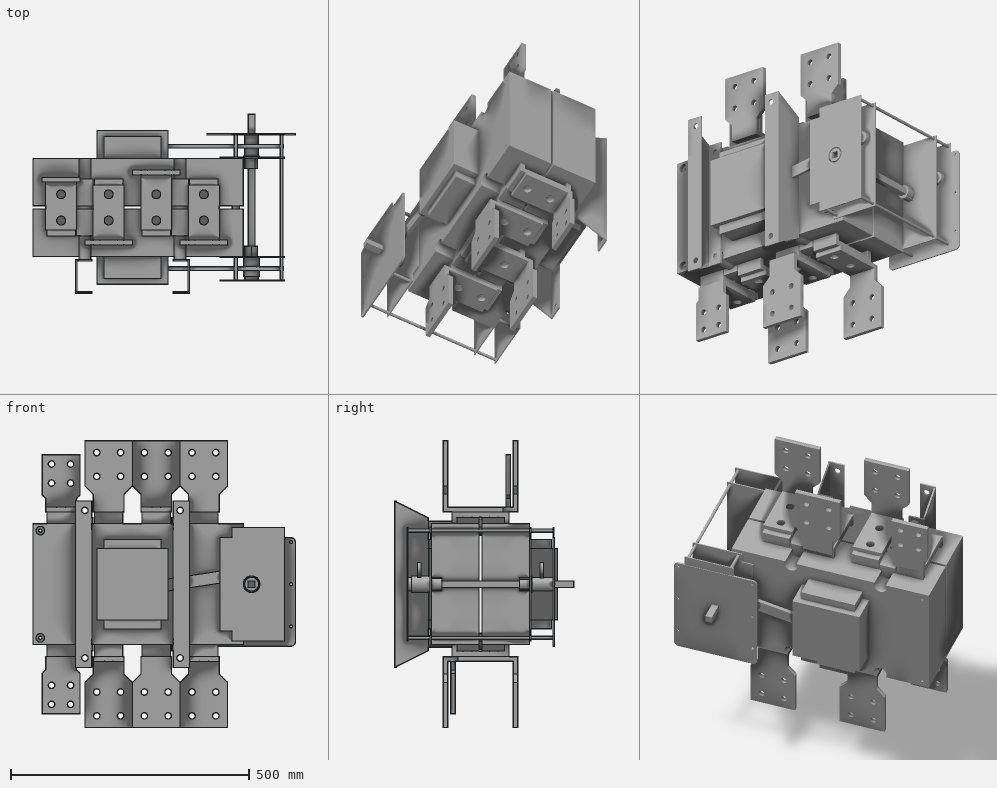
import cadquery as cq


left_end = -209.0
right_end = 342.5
rear_end = 196.0
front_end = -180.5
height = 602.98

block_length = 441.7
block_height = 254.0
block_gap = 6.0
block_outer_y = 103.2
corner_inset = 15.5
corner_z = 112.6
corner_hole_d = 6.5
corner_counterbore_d = 18.0
corner_counterbore_depth = 10.0
corner_spacer_d = 16.0
block_right = left_end + block_length
block_top = block_height / 2
right_corner_x = block_right - corner_inset

chamber_size = 150.0
chamber_outer_y = 161.7
step_width = 120.0
step_height = 188.0
step_outer_y = 149.2

pole_count = 4
pole_pitch = 100.0
terminal_width = 60.0
terminal_depth = 120.0
terminal_leg = 10.0
terminal_top = 152.0
terminal_inner_top = 140.4
pad_width = 35.0
pad_top = terminal_inner_top

bar_thickness = 10.0
bar_neck_width = 65.0
bar_tail_y = 47.5
bar_bolt_d = 18.5
bar_bolt_y = 27.5
bar_hole_d = 13.0
bar_base = terminal_top + bar_thickness
main_bar = dict(width=100.0, tip_z=height / 2, blade_height=95.0, hole_pitch=50.0, back_y=78.5)
neutral_bar = dict(width=80.0, tip_z=272.4, blade_height=85.0, hole_pitch=40.0, back_y=63.0)

tie_x = 100.0
tie_z = 120.0
tie_d = 25.0
tie_groove_d = 29.0
tie_spacer_d = 35.0
bracket_thickness = 3.5
bracket_width = 34.8
bracket_outer_x = 120.0
bracket_back_y = -109.5
bracket_front_z = 175.0
bracket_back_z = 139.5
bracket_hole_d = 13.0
bracket_hole_z = 155.0
bracket_bolt_hole_d = 11.0

shaft_x = 250.2
shaft_size = 14.5
shaft_front_y = -130.0
plate_thickness = 2.5
plate_left = 183.8
plate_right = 319.4
plate_height = 238.6
plate_notch_x = 25.3
plate_notch_z = 21.3
plate_outer_y = 154.5
plate_inner_y = block_outer_y + plate_thickness
door_width = 186.0
door_thickness = 3.5
door_top = 98.0
door_bottom = -130.5
door_radius = 10.0
door_hole_d = 5.5
door_hole_x = 83.0
door_hole_z = 88.5
post_d = 7.0
rod_d = 6.5
rod_x = 313.2
hub_d = 29.0
hub_flange_d = 34.0
hub_flange_y = 145.0
hub_rear_flange_length = 2.5
hub_hole_d = 35.0
collar_d = 25.0
collar_end_y = 81.4
arm_width = 25.0
arm_thickness = 8.0
arm_y = 128.6
arm_angle = 8.6
arm_tip_x = 305.0
arm_tip_z = 33.2
arm_length = 250.0


def box(x0, x1, y0, y1, z0, z1):
    """Block between pairs of opposite corner coordinates, given in either order."""
    size = (abs(x1 - x0), abs(y1 - y0), abs(z1 - z0))
    centre = ((x0 + x1) / 2, (y0 + y1) / 2, (z0 + z1) / 2)
    return cq.Workplane("XY").box(*size).translate(centre)


def rod(diameter, x, z, y0, y1):
    """Cylinder along Y from y0 up to y1."""
    start = cq.Workplane("XZ", origin=(x, y0, z))
    return start.circle(diameter / 2).extrude(-(y1 - y0))


def turned_over(shape):
    """Copy of the upper half of the terminals for the lower half: half a turn about X."""
    return shape.rotate((0, 0, 0), (1, 0, 0), 180)


def pole_blocks():
    blocks = cq.Workplane("XY")
    for side in (-1, 1):
        block = box(left_end, block_right, side * block_gap / 2, side * block_outer_y, -block_top, block_top)
        blocks = blocks.add(block)
    blocks = blocks.combine()
    for end in (-1, 1):
        for x in (-tie_x, tie_x):
            blocks = blocks.cut(rod(tie_groove_d, x, end * tie_z, -block_outer_y, block_outer_y))
        z = end * corner_z
        bore_floor = -block_outer_y + corner_counterbore_depth
        blocks = blocks.cut(rod(corner_hole_d, left_end + corner_inset, z, -block_outer_y, block_outer_y))
        blocks = blocks.cut(rod(corner_counterbore_d, left_end + corner_inset, z, -block_outer_y, bore_floor))
        blocks = blocks.union(rod(corner_spacer_d, right_corner_x, z, -block_gap / 2, block_gap / 2))
    return blocks


def arc_chamber(side):
    face = side * block_outer_y
    half = chamber_size / 2
    chamber = box(-half, half, face, side * chamber_outer_y, -half, half)
    step = box(-step_width / 2, step_width / 2, face, side * step_outer_y, -step_height / 2, step_height / 2)
    return chamber.union(step)


def terminal(x):
    half_width = terminal_width / 2
    half_depth = terminal_depth / 2
    inner = half_depth - terminal_leg
    channel = box(x - half_width, x + half_width, -half_depth, half_depth, block_top, terminal_top)
    return channel.cut(box(x - half_width, x + half_width, -inner, inner, block_top, terminal_inner_top))


def pads(x):
    """Two pads in the space between neighbouring terminals, one on each block."""
    half_width = pad_width / 2
    rear = box(x - half_width, x + half_width, block_gap / 2, terminal_depth / 2, block_top, pad_top)
    return rear.union(rear.mirror("XZ"))


def bus_bar(x, side, width, tip_z, blade_height, hole_pitch, back_y):
    """Angle bar on the upper terminal at x, with its blade towards side (+1 rear, -1 front)."""
    half_neck = bar_neck_width / 2
    half_width = width / 2
    blade_z = tip_z - blade_height
    neck_z = blade_z - (half_width - half_neck)
    foot = box(x - half_neck, x + half_neck, -side * bar_tail_y, side * back_y, terminal_top, bar_base)
    outline = [
        (-half_neck, terminal_top),
        (half_neck, terminal_top),
        (half_neck, neck_z),
        (half_width, blade_z),
        (half_width, tip_z),
        (-half_width, tip_z),
        (-half_width, blade_z),
        (-half_neck, neck_z),
    ]
    middle_y = side * (back_y - bar_thickness / 2)
    blade_plane = cq.Workplane("XZ", origin=(x, middle_y, 0))
    blade = blade_plane.polyline(outline).close().extrude(bar_thickness / 2, both=True)
    hole_middle_z = tip_z - hole_pitch
    holes = (
        cq.Workplane("XZ", origin=(x, middle_y, hole_middle_z))
        .rect(hole_pitch, hole_pitch, forConstruction=True)
        .vertices()
        .circle(bar_hole_d / 2)
        .extrude(bar_thickness, both=True)
    )
    return foot.union(blade.cut(holes))


def terminal_row():
    """Terminals, pads and bus bars on the top of the blocks."""
    row = cq.Workplane("XY")
    bolt_hole_depth = bar_base - terminal_inner_top
    bolts = cq.Workplane("XY").workplane(offset=terminal_inner_top)
    for index in range(pole_count):
        x = (index - (pole_count - 1) / 2) * pole_pitch
        side = 1 if index % 2 == 0 else -1
        bar = neutral_bar if index == 0 else main_bar
        pole = terminal(x).union(bus_bar(x, side, **bar))
        bolt_points = [(x, -bar_bolt_y), (x, bar_bolt_y)]
        holes = bolts.pushPoints(bolt_points).circle(bar_bolt_d / 2).extrude(bolt_hole_depth)
        pole = pole.cut(holes)
        row = row.add(pole)
    for x in (-tie_x, tie_x):
        row = row.add(pads(x))
    return row.combine()


def tie_bolt(x, z):
    bolt = rod(tie_d, x, z, bracket_back_y, terminal_depth / 2)
    return bolt.union(rod(tie_spacer_d, x, z, -block_gap / 2, block_gap / 2))


def bracket(hand):
    """Channel bracket on the tie bolts; hand is -1 for the left one and +1 for the right one."""
    outer_x = hand * bracket_outer_x
    inner_x = hand * (bracket_outer_x - bracket_width)
    web_x = hand * (bracket_outer_x - bracket_thickness)
    front_face = front_end + bracket_thickness
    back_face = bracket_back_y - bracket_thickness
    web_outline = [
        (bracket_back_y, -bracket_back_z),
        (front_end, -bracket_front_z),
        (front_end, bracket_front_z),
        (bracket_back_y, bracket_back_z),
    ]
    web = cq.Workplane("YZ", origin=(outer_x, 0, 0)).polyline(web_outline).close().extrude(web_x - outer_x)
    front = box(inner_x, outer_x, front_end, front_face, -bracket_front_z, bracket_front_z)
    back = box(inner_x, outer_x, back_face, bracket_back_y, -bracket_back_z, bracket_back_z)
    channel = web.union(front).union(back)
    for z in (-bracket_hole_z, bracket_hole_z):
        channel = channel.cut(rod(bracket_hole_d, hand * tie_x, z, front_end, front_face))
    for z in (-tie_z, tie_z):
        channel = channel.cut(rod(bracket_bolt_hole_d, hand * tie_x, z, back_face, bracket_back_y))
    return channel


def mechanism_plate(y0):
    """Side plate with its two left corners notched, from y0 to one thickness behind it."""
    half = plate_height / 2
    notch_right = plate_left + plate_notch_x
    plate = box(plate_left, plate_right, y0, y0 + plate_thickness, -half, half)
    for end in (-1, 1):
        notch_floor = end * (half - plate_notch_z)
        notch = box(plate_left, notch_right, y0, y0 + plate_thickness, notch_floor, end * half)
        plate = plate.cut(notch)
    return plate


def door_plate():
    y0 = plate_outer_y - plate_thickness
    y1 = y0 + door_thickness
    plate = box(right_end - door_width, right_end, y0, y1, door_bottom, door_top)
    plate = plate.edges("|Y").fillet(door_radius)
    for x in (shaft_x - door_hole_x, shaft_x + door_hole_x):
        for z in (-door_hole_z, 0, door_hole_z):
            plate = plate.cut(rod(door_hole_d, x, z, y0, y1))
    return plate


def stepped_collar(y0, y1, step_x):
    """Collar around the shaft that drops to a smaller radius right of step_x."""
    raised = rod(hub_d, shaft_x, 0, y0, y1)
    raised = raised.cut(box(shaft_x + step_x, shaft_x + hub_d, y0, y1, -hub_d, hub_d))
    return raised.union(rod(collar_d, shaft_x, 0, y0, y1))


def lever_arm(y):
    """Sloping flat arm with a round tip, rooted inside the arc chamber."""
    bar = cq.Workplane("XZ").center(-arm_length / 2, 0).rect(arm_length, arm_width)
    arm = bar.extrude(arm_thickness / 2, both=True)
    arm = arm.union(cq.Workplane("XZ").circle(arm_width / 2).extrude(arm_thickness / 2, both=True))
    return arm.rotate((0, 0, 0), (0, 1, 0), -arm_angle).translate((arm_tip_x, y, arm_tip_z))


def mechanism():
    outer_face = plate_outer_y - plate_thickness
    hub_hole = rod(hub_hole_d, shaft_x, 0, -plate_outer_y, -outer_face)
    front_plate = mechanism_plate(-plate_outer_y).cut(hub_hole)
    parts = [
        front_plate,
        mechanism_plate(-plate_inner_y),
        mechanism_plate(block_outer_y),
        mechanism_plate(outer_face),
        door_plate(),
        rod(hub_d, shaft_x, 0, -plate_outer_y, -plate_inner_y),
        rod(hub_flange_d, shaft_x, 0, -hub_flange_y, -plate_inner_y),
        rod(hub_d, shaft_x, 0, plate_inner_y, outer_face),
        rod(hub_flange_d, shaft_x, 0, plate_inner_y, plate_inner_y + hub_rear_flange_length),
        stepped_collar(-block_outer_y, -collar_end_y, 0),
        stepped_collar(collar_end_y, block_outer_y, shaft_size / 2),
        lever_arm(-arm_y),
        lever_arm(arm_y),
    ]
    for z in (-corner_z, corner_z):
        parts.append(rod(post_d, right_corner_x, z, -outer_face, -block_outer_y))
        parts.append(rod(post_d, right_corner_x, z, block_outer_y, outer_face))
        parts.append(rod(rod_d, rod_x, z, -outer_face, outer_face))
    frame = parts[0]
    for part in parts[1:]:
        frame = frame.union(part)
    return frame


def square_bar(y0, y1):
    half = shaft_size / 2
    return box(shaft_x - half, shaft_x + half, y0, y1, -half, half)


def build_switch():
    row = terminal_row()
    switch = pole_blocks().union(row).union(turned_over(row))
    for side in (-1, 1):
        switch = switch.union(arc_chamber(side))
        switch = switch.union(bracket(side))
        for end in (-1, 1):
            switch = switch.union(tie_bolt(side * tie_x, end * tie_z))
    switch = switch.union(mechanism())
    return switch.cut(square_bar(-plate_outer_y, rear_end))


switch = build_switch()

shaft = square_bar(shaft_front_y, rear_end)

result = cq.Compound.makeCompound([switch.val(), shaft.val()])